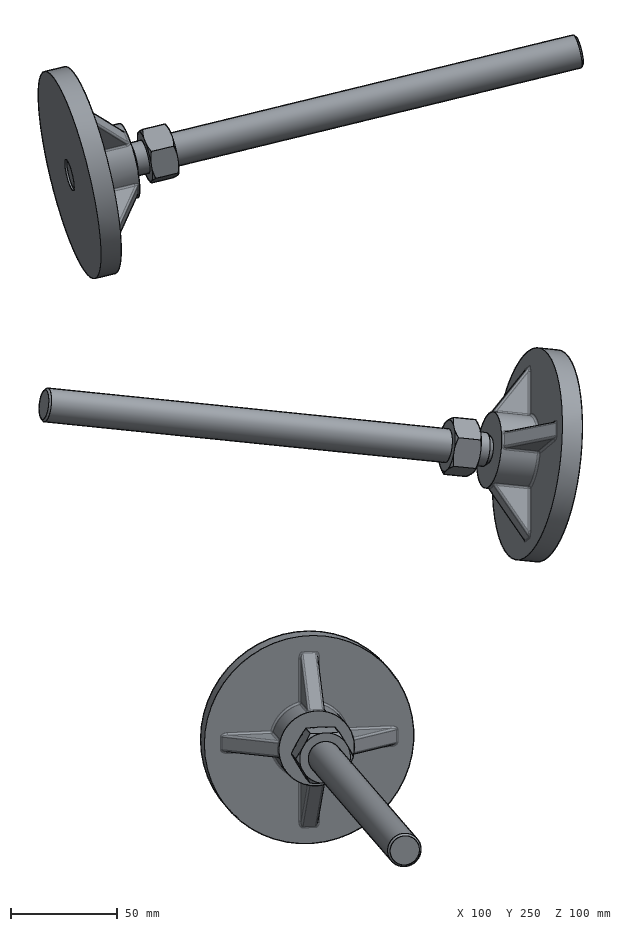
import cadquery as cq
import math


plate_radius = 50.0
plate_thickness = 10.0
boss_radius = 18.0
boss_top = 29.0
recess_radius = 7.5
recess_depth = 1.0
rib_count = 4
rib_thickness = 8.0
rib_reach = 42.0
rib_top = 28.0
foot_fillet = 1.0
trim_allowance = 10.0

spindle_top = 250.0
spindle_radius = 8.0
tip_chamfer_height = 2.2
tip_chamfer_width = 1.8
end_chamfer = 1.0
hex_bottom = 37.0
hex_height = 13.0
hex_across_flats = 24.0
hex_chamfer_height = 1.0
hex_chamfer_width = 1.8


def plane_at(height):
    """Sketch plane square to the axis, facing +Y."""
    return cq.Workplane(cq.Plane(origin=(0, height, 0), xDir=(1, 0, 0), normal=(0, 1, 0)))


def revolve_about_axis(profile):
    """Turn a closed outline of (radius, height) points about the Y axis."""
    return cq.Workplane("XY").polyline(profile).close().revolve(360, (0, 0, 0), (0, 1, 0))


def make_rib(angle):
    """Sloping rib with rounded upper edges; the slope meets the boss at rib_top and runs on inside."""
    slope = (rib_top - plate_thickness) / (rib_reach - boss_radius)
    inner_radius = boss_radius / 2
    inner_height = plate_thickness + (rib_reach - inner_radius) * slope
    outline = [
        (0, plate_thickness),
        (rib_reach, plate_thickness),
        (inner_radius, inner_height),
        (0, inner_height),
    ]
    rib = cq.Workplane("XY").polyline(outline).close().extrude(rib_thickness / 2, both=True)
    slope_middle = ((rib_reach + inner_radius) / 2, (plate_thickness + inner_height) / 2, 0)
    slope_face = rib.faces(cq.selectors.NearestToPointSelector(slope_middle))
    rounded_rib = slope_face.edges("not |Z").fillet(foot_fillet)
    return rounded_rib.rotate((0, 0, 0), (0, 1, 0), angle)


def is_root_edge(edge):
    """True for the inside corners between plate, boss and rib sides, but not at the rib tips."""
    middle = edge.Center()
    distance = math.hypot(middle.x, middle.z)
    near_boss = boss_radius / 2 < distance < rib_reach - rib_thickness
    on_plate = math.isclose(middle.y, plate_thickness, abs_tol=0.002)
    along_axis = edge.geomType() == "LINE" and abs(edge.tangentAt(0).y) > 0.999
    return near_boss and (on_plate or along_axis)


def make_foot():
    """Round plate with a ribbed boss above and a shallow recess below."""
    foot = plane_at(0).circle(plate_radius).extrude(plate_thickness)
    boss_height = boss_top - plate_thickness
    foot = foot.union(plane_at(plate_thickness).circle(boss_radius).extrude(boss_height + trim_allowance))
    for index in range(rib_count):
        foot = foot.union(make_rib(index * 360 / rib_count))

    root_edges = [edge for edge in foot.edges().vals() if is_root_edge(edge)]
    foot = foot.newObject(root_edges).fillet(foot_fillet)

    trim = plane_at(boss_top).circle(plate_radius).extrude(boss_height + trim_allowance)
    recess = plane_at(0).circle(recess_radius).extrude(recess_depth)
    return foot.cut(trim).cut(recess).solids()


def make_hex():
    """Hexagon with a corner on the X axis and its corners turned off at both ends."""
    corner_radius = hex_across_flats / math.sqrt(3)
    end_radius = corner_radius - hex_chamfer_width
    hex_top = hex_bottom + hex_height
    prism = plane_at(hex_bottom).polygon(6, 2 * corner_radius).extrude(hex_height)
    turned_blank = revolve_about_axis([
        (0, hex_bottom),
        (end_radius, hex_bottom),
        (corner_radius, hex_bottom + hex_chamfer_height),
        (corner_radius, hex_top - hex_chamfer_height),
        (end_radius, hex_top),
        (0, hex_top),
    ])
    return prism.intersect(turned_blank)


def make_spindle():
    """Spindle with an integral hexagon, standing on the boss of the foot."""
    rod = revolve_about_axis([
        (0, boss_top),
        (spindle_radius - tip_chamfer_width, boss_top),
        (spindle_radius, boss_top + tip_chamfer_height),
        (spindle_radius, spindle_top - end_chamfer),
        (spindle_radius - end_chamfer, spindle_top),
        (0, spindle_top),
    ])
    return rod.union(make_hex()).solids()


foot = make_foot()
spindle = make_spindle()
result = cq.Compound.makeCompound([foot.val(), spindle.val()])